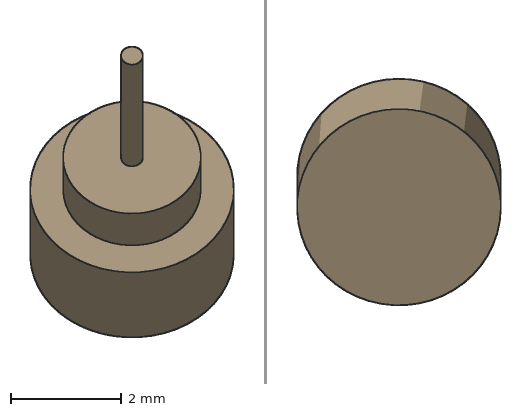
import cadquery as cq

BASE_DIAMETER = 3.7
BASE_HEIGHT = 2.05
COLLAR_DIAMETER = 2.5
COLLAR_HEIGHT = 1.0
SEAL_DIAMETER = 1.95
PIN_DIAMETER = 0.4
PIN_LENGTH = 3.2

COLLAR_TOP = BASE_HEIGHT + COLLAR_HEIGHT


def cylinder(diameter, bottom, height):
    """Upright cylinder centred on the Z axis."""
    return cq.Workplane("XY").workplane(offset=bottom).circle(diameter / 2).extrude(height)


base = cylinder(BASE_DIAMETER, 0, BASE_HEIGHT)
pin = cylinder(PIN_DIAMETER, COLLAR_TOP, PIN_LENGTH)

seal = cylinder(SEAL_DIAMETER, BASE_HEIGHT, COLLAR_HEIGHT)
collar = cylinder(COLLAR_DIAMETER, BASE_HEIGHT, COLLAR_HEIGHT).cut(seal)

result = base.union(collar, clean=False).union(seal, clean=False).union(pin, clean=False)